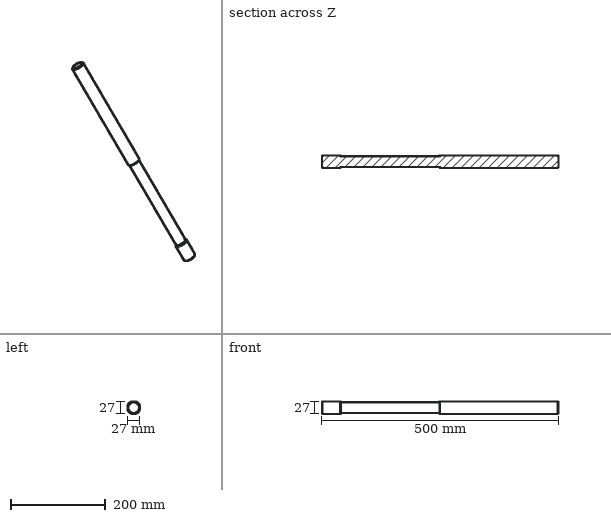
import cadquery as cq

length = 500.0
bar_diameter = 27.0
neck_diameter = 23.5
head_length = 41.0
grip_length = 250.0
end_chamfer = 2.0
head_taper = 2.5

bar_radius = bar_diameter / 2
neck_radius = neck_diameter / 2
shoulder = bar_radius - neck_radius

left_end = -length / 2
right_end = length / 2
head_end = left_end + head_length
grip_start = right_end - grip_length

half_section = (
    cq.Workplane("XY")
    .moveTo(left_end, 0)
    .lineTo(left_end, bar_radius - end_chamfer)
    .lineTo(left_end + end_chamfer, bar_radius)
    .lineTo(head_end - head_taper, bar_radius)
    .lineTo(head_end, neck_radius)
    .lineTo(grip_start - shoulder, neck_radius)
    .lineTo(grip_start, bar_radius)
    .lineTo(right_end - end_chamfer, bar_radius)
    .lineTo(right_end, bar_radius - end_chamfer)
    .lineTo(right_end, 0)
    .close()
)

result = half_section.revolve(360, (0, 0, 0), (1, 0, 0))